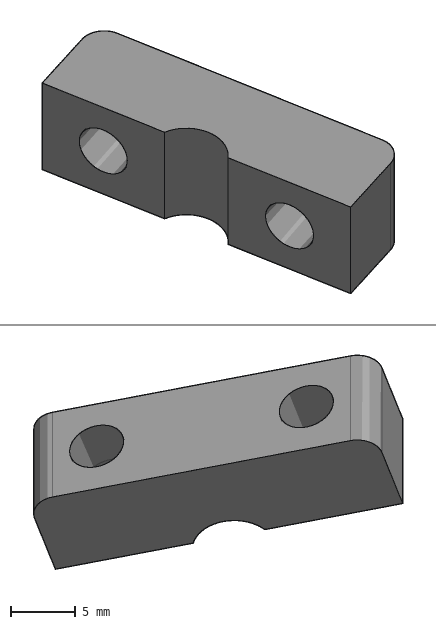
import cadquery as cq

length = 28.0
depth = 8.0
height = 9.0
corner_radius = 2.0

hole_diameter = 4.35
hole_spacing = 16.9

groove_radius = 3.25
groove_axis_offset = 1.5

front_y = -depth / 2


def make_block():
    """Centred block with its two rear vertical edges rounded."""
    block = cq.Workplane("XY").box(length, depth, height)
    return block.faces(">Y").edges("|Z").fillet(corner_radius)


def make_groove():
    """Vertical cylinder that cuts a shallow groove in the front face."""
    return (
        cq.Workplane("XY")
        .center(0, front_y - groove_axis_offset)
        .circle(groove_radius)
        .extrude(height / 2, both=True)
    )


def make_holes():
    """Pair of through holes running from front to rear."""
    return (
        cq.Workplane("XZ")
        .pushPoints([(side * hole_spacing / 2, 0) for side in (-1, 1)])
        .circle(hole_diameter / 2)
        .extrude(depth / 2, both=True)
    )


result = make_block().cut(make_groove()).cut(make_holes())